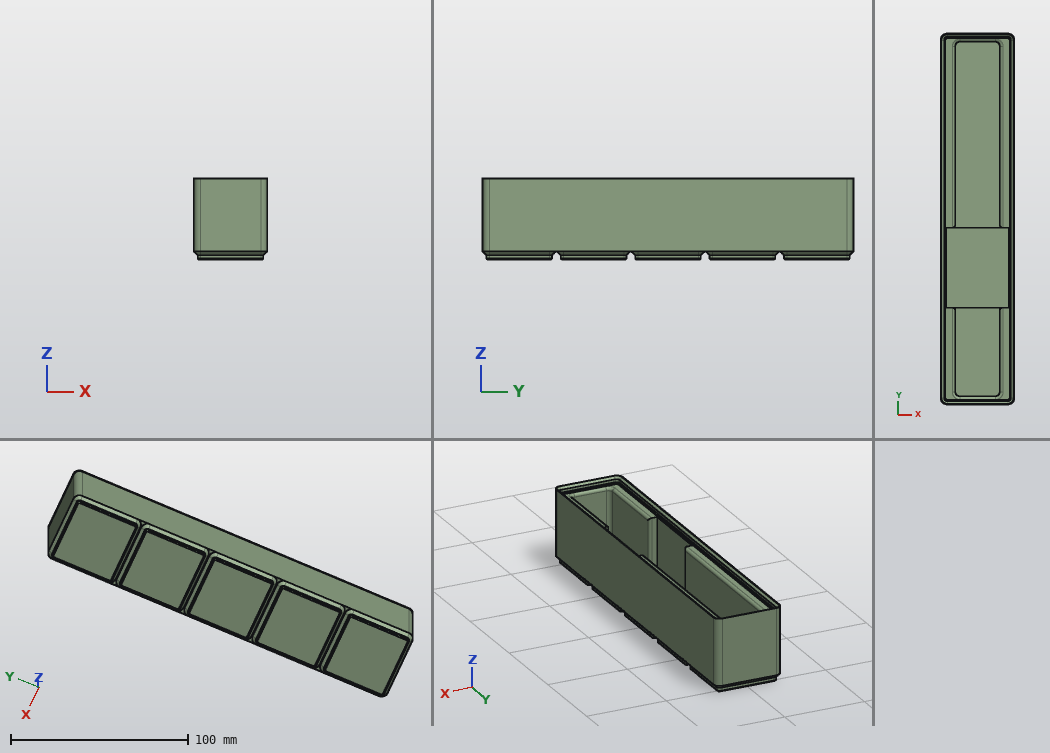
import cadquery as cq

GRID = 42.0
CLEARANCE = 0.5
CELLS_Y = 5
WIDTH = GRID - CLEARANCE
LENGTH = CELLS_Y * GRID - CLEARANCE
HEIGHT = 46.0
CORNER_R = 3.75

FOOT_LOWER_SLOPE = 0.8
FOOT_STRAIGHT = 1.8
FOOT_UPPER_SLOPE = 2.15
FOOT_HEIGHT = FOOT_LOWER_SLOPE + FOOT_STRAIGHT + FOOT_UPPER_SLOPE

LIP_BASE = 0.25
LIP_LOWER_SLOPE = 0.7
LIP_STRAIGHT = 1.8
LIP_UPPER_SLOPE = 1.5
LIP_RIM = 0.4
LIP_HEIGHT = LIP_BASE + LIP_LOWER_SLOPE + LIP_STRAIGHT + LIP_UPPER_SLOPE
BLOCK_TOP = HEIGHT - LIP_HEIGHT

POCKET_WIDTH = 25.0
POCKET_LENGTH = 200.0
POCKET_CORNER_R = 2.5
EDGE_R = 1.8

OPENING_WIDTH = 35.2
OPENING_LENGTH = 45.0
OPENING_CENTER_Y = -27.5
OPENING_FLOOR = 6.0
OPENING_STEP = 1.0
POCKET_FLOOR = OPENING_FLOOR + OPENING_STEP


def rounded_block(width, length, z_bottom, z_top, radius):
    """Upright block with rounded vertical corners, centred on the Z axis."""
    block = cq.Workplane("XY").workplane(offset=z_bottom).rect(width, length)
    return block.extrude(z_top - z_bottom).edges("|Z").fillet(radius)


def inset_slope(width, length, z, height, inset_bottom, inset_top):
    """Rounded slab whose sides slope from one inset of a width x length outline to another."""
    def outline(inset):
        sketch = cq.Sketch().rect(width - 2 * inset, length - 2 * inset)
        return sketch.vertices().fillet(CORNER_R - inset)

    bottom = outline(inset_bottom).moved(cq.Location(cq.Vector(0, 0, z)))
    top = outline(inset_top).moved(cq.Location(cq.Vector(0, 0, z + height)))
    return cq.Workplane("XY").placeSketch(bottom, top).loft()


def inset_stack(width, length, z, steps):
    """Stack of slabs; each step is (height, bottom inset, top inset)."""
    stack = None
    for height, inset_bottom, inset_top in steps:
        slab = inset_slope(width, length, z, height, inset_bottom, inset_top)
        stack = slab if stack is None else stack.union(slab)
        z += height
    return stack


def make_feet():
    middle_inset = FOOT_UPPER_SLOPE
    foot = inset_stack(WIDTH, WIDTH, 0, [
        (FOOT_LOWER_SLOPE, middle_inset + FOOT_LOWER_SLOPE, middle_inset),
        (FOOT_STRAIGHT, middle_inset, middle_inset),
        (FOOT_UPPER_SLOPE, middle_inset, 0),
    ])
    feet = cq.Workplane("XY")
    for cell in range(CELLS_Y):
        center_y = (cell - (CELLS_Y - 1) / 2) * GRID
        feet = feet.union(foot.translate((0, center_y, 0)))
    return feet


def make_lip_recess():
    middle_inset = LIP_RIM + LIP_UPPER_SLOPE
    base_inset = middle_inset + LIP_LOWER_SLOPE
    return inset_stack(WIDTH, LENGTH, BLOCK_TOP, [
        (LIP_BASE, base_inset, base_inset),
        (LIP_LOWER_SLOPE, base_inset, middle_inset),
        (LIP_STRAIGHT, middle_inset, middle_inset),
        (LIP_UPPER_SLOPE, middle_inset, LIP_RIM),
    ])


def make_pocket():
    return rounded_block(POCKET_WIDTH, POCKET_LENGTH, POCKET_FLOOR, BLOCK_TOP, POCKET_CORNER_R)


def make_opening():
    opening = cq.Workplane("XY").workplane(offset=OPENING_FLOOR).center(0, OPENING_CENTER_Y)
    return opening.rect(OPENING_WIDTH, OPENING_LENGTH).extrude(BLOCK_TOP - OPENING_FLOOR)


def edges_within(width, length, z_bottom, z_top, center_y=0):
    """Selector for edges centred inside a slightly enlarged box."""
    margin = 0.1
    half_x = width / 2 + margin
    half_y = length / 2 + margin
    return cq.selectors.BoxSelector(
        (-half_x, center_y - half_y, z_bottom - margin),
        (half_x, center_y + half_y, z_top + margin),
    )


def round_pocket_edges(block):
    """Round the mouth of the pocket and the upright edges where the opening crosses it."""
    mouth = edges_within(POCKET_WIDTH, POCKET_LENGTH, BLOCK_TOP, BLOCK_TOP)
    crossing = edges_within(
        POCKET_WIDTH, OPENING_LENGTH, POCKET_FLOOR, BLOCK_TOP, OPENING_CENTER_Y
    )
    upright = block.edges("|Z").edges(crossing)
    return block.edges(mouth).add(upright).fillet(EDGE_R)


body = rounded_block(WIDTH, LENGTH, FOOT_HEIGHT, HEIGHT, CORNER_R)
body = body.cut(make_lip_recess())
body = body.cut(make_pocket())
body = body.cut(make_opening())
body = round_pocket_edges(body)
result = body.union(make_feet())